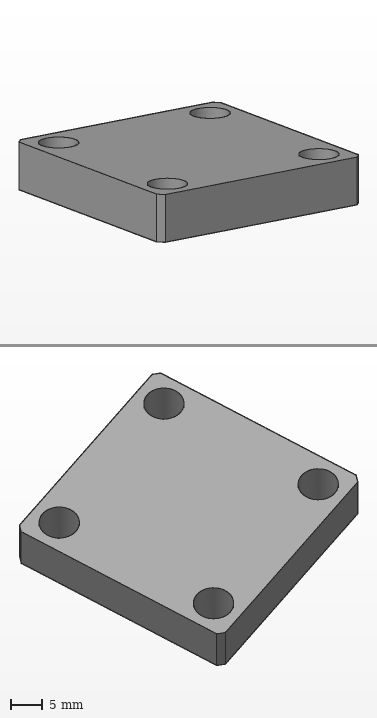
import cadquery as cq

side = 40.0
thickness = 8.0
corner_chamfer = 1.0

hole_diameter = 6.5
hole_spacing = 30.0

plate = (
    cq.Workplane("XY")
    .box(side, side, thickness)
    .edges("|Z")
    .chamfer(corner_chamfer)
)

result = (
    plate.faces(">Z")
    .workplane()
    .rect(hole_spacing, hole_spacing, forConstruction=True)
    .vertices()
    .hole(hole_diameter)
)